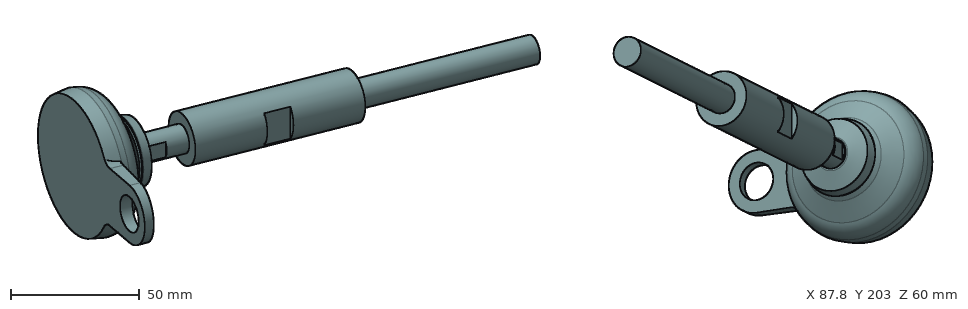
import cadquery as cq
import math

TOTAL_LENGTH = 203.0

SOLE_RADIUS = 29.0
PLATE_RADIUS = 30.0
PLATE_HEIGHT = 6.3

DOME_START_RADIUS = 29.6
DOME_START_Y = 9.1
DOME_MID_RADIUS = 27.8
DOME_MID_Y = 13.0
DOME_END_RADIUS = 24.4
DOME_END_Y = 15.5
SHOULDER_RADIUS = 16.6
SHOULDER_Y = 19.7
NECK_RADIUS = 14.8
NECK_Y = 21.1

LIP_RADIUS = 15.5
LIP_BOTTOM_Y = 22.1
LIP_TOP_Y = 22.5
COLLAR_TOP_RADIUS = 14.5
COLLAR_TOP_Y = 26.8
SEAT_RADIUS = 6.7
SEAT_Y = 28.8

LUG_END_RADIUS = 12.5
LUG_CENTER_X = 45.3
LUG_HOLE_DIAMETER = 15.0
LUG_END_THICKNESS = 4.0
LUG_BLEND_RADIUS = 5.3

ROD_DIAMETER = 12.0
ROD_FLATS_WIDTH = 10.0
ROD_FLATS_START_Y = 30.0
ROD_FLATS_LENGTH = 8.0
SLEEVE_DIAMETER = 22.0
SLEEVE_START_Y = 48.0
SLEEVE_LENGTH = 75.1
SLEEVE_FLATS_WIDTH = 16.8
SLEEVE_FLATS_LENGTH = 11.5


def cylinder_along_y(diameter, start_y, length, center_x=0):
    """Cylinder parallel to Y that begins at start_y."""
    plane = cq.Workplane("XZ", origin=(center_x, start_y, 0))
    return plane.circle(diameter / 2).extrude(-length)


def cut_flats(body, diameter, width, start_y, length):
    """Cut a pair of wrench flats into a cylinder, on its -X and +X sides."""
    depth = (diameter - width) / 2
    for side in (-1, 1):
        center = (side * (width + depth) / 2, start_y + length / 2, 0)
        body = body.cut(cq.Workplane("XY").box(depth, length, diameter).translate(center))
    return body


def make_foot_dome():
    """Revolved foot: plate, dome, neck and collar."""
    return (
        cq.Workplane("XY")
        .lineTo(SOLE_RADIUS, 0)
        .lineTo(PLATE_RADIUS, PLATE_HEIGHT)
        .lineTo(DOME_START_RADIUS, DOME_START_Y)
        .threePointArc((DOME_MID_RADIUS, DOME_MID_Y), (DOME_END_RADIUS, DOME_END_Y))
        .lineTo(SHOULDER_RADIUS, SHOULDER_Y)
        .lineTo(NECK_RADIUS, NECK_Y)
        .lineTo(NECK_RADIUS, LIP_BOTTOM_Y)
        .lineTo(LIP_RADIUS, LIP_BOTTOM_Y)
        .lineTo(LIP_RADIUS, LIP_TOP_Y)
        .lineTo(COLLAR_TOP_RADIUS, COLLAR_TOP_Y)
        .lineTo(SEAT_RADIUS, SEAT_Y)
        .lineTo(0, SEAT_Y)
        .close()
        .revolve(360, (0, 0, 0), (0, 1, 0))
    )


def make_lug():
    """Round-ended lug with a sloping top, blended tangentially into the sole circle."""
    blend_center_z = LUG_END_RADIUS + LUG_BLEND_RADIUS
    center_distance = SOLE_RADIUS + LUG_BLEND_RADIUS
    blend_end_x = math.sqrt(center_distance**2 - blend_center_z**2)
    blend_start_x = blend_end_x * SOLE_RADIUS / center_distance
    blend_start_z = blend_center_z * SOLE_RADIUS / center_distance
    start_angle = math.atan2(-blend_center_z, -blend_end_x)
    mid_angle = (start_angle - math.pi / 2) / 2
    blend_mid_x = blend_end_x + LUG_BLEND_RADIUS * math.cos(mid_angle)
    blend_mid_z = blend_center_z + LUG_BLEND_RADIUS * math.sin(mid_angle)
    tip_x = LUG_CENTER_X + LUG_END_RADIUS

    plan = (
        cq.Workplane("XZ")
        .moveTo(0, blend_start_z)
        .lineTo(blend_start_x, blend_start_z)
        .threePointArc((blend_mid_x, blend_mid_z), (blend_end_x, LUG_END_RADIUS))
        .lineTo(LUG_CENTER_X, LUG_END_RADIUS)
        .threePointArc((tip_x, 0), (LUG_CENTER_X, -LUG_END_RADIUS))
        .lineTo(blend_end_x, -LUG_END_RADIUS)
        .threePointArc((blend_mid_x, -blend_mid_z), (blend_start_x, -blend_start_z))
        .lineTo(0, -blend_start_z)
        .close()
        .extrude(-PLATE_HEIGHT)
    )
    side_profile = (
        cq.Workplane("XY")
        .lineTo(tip_x, 0)
        .lineTo(tip_x, LUG_END_THICKNESS)
        .lineTo(blend_start_x, PLATE_HEIGHT)
        .lineTo(0, PLATE_HEIGHT)
        .close()
        .extrude(PLATE_RADIUS, both=True)
    )
    hole = cylinder_along_y(LUG_HOLE_DIAMETER, 0, PLATE_HEIGHT, LUG_CENTER_X)
    return plan.intersect(side_profile).cut(hole)


def make_foot():
    """Foot with its fixing lug."""
    return make_foot_dome().union(make_lug())


def make_spindle():
    """Rod standing on the foot, with a thicker sleeve section; both have wrench flats."""
    rod = cylinder_along_y(ROD_DIAMETER, SEAT_Y, TOTAL_LENGTH - SEAT_Y)
    rod = cut_flats(rod, ROD_DIAMETER, ROD_FLATS_WIDTH, ROD_FLATS_START_Y, ROD_FLATS_LENGTH)
    sleeve = cylinder_along_y(SLEEVE_DIAMETER, SLEEVE_START_Y, SLEEVE_LENGTH)
    flats_start_y = SLEEVE_START_Y + (SLEEVE_LENGTH - SLEEVE_FLATS_LENGTH) / 2
    sleeve = cut_flats(sleeve, SLEEVE_DIAMETER, SLEEVE_FLATS_WIDTH, flats_start_y, SLEEVE_FLATS_LENGTH)
    return rod.union(sleeve)


foot = make_foot()
spindle = make_spindle()
result = cq.Compound.makeCompound([foot.solids().val(), spindle.solids().val()])